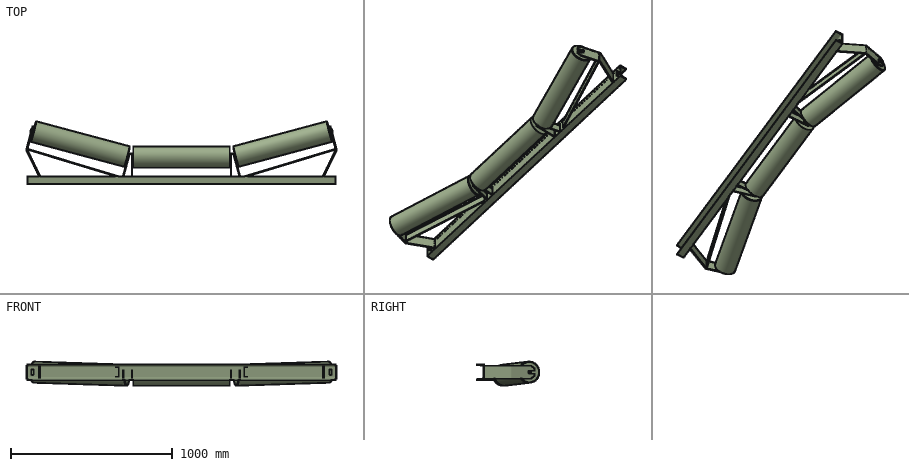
import cadquery as cq
import math


beam_length = 1905.0
beam_height = 100.0
beam_depth = 48.0
web_thickness = 5.0
flange_tip_thickness = 7.0
flange_root_thickness = 10.7
flange_root_radius = 8.0
flange_tip_radius = 4.0
beam_slot_width = 17.0
beam_slot_height = 36.0
beam_slot_inset = 30.0

roller_diameter = 132.0
middle_roller_length = 597.0
side_roller_length = 603.0
side_roller_chamfer = 4.0
shaft_diameter = 17.0
inner_stub = 10.0
outer_stub = 17.0
trough_angle = 15.0
lift_angle = 1.8
middle_roller_y = 119.0
middle_roller_z = -20.0
side_roller_x = -625.0
side_roller_y = 200.0
side_roller_z = -10.0

shaft_slot_width = 20.0
slot_depth_ratio = 1.5
shaft_slot_length = 77.0
inner_plate_thickness = 5.0
inner_plate_height = 60.0
inner_leg_x = -303.0
inner_bridge_width = 21.0
inner_bracket_top = 144.0
outer_plate_thickness = 8.0
outer_plate_height = 80.0
outer_bracket_reach = 960.0
outer_bracket_top = 311.0
bend_y = 165.0
bend_radius = 15.0
foot_angle = 26.0
tip_chamfer_along = 23.0
tip_chamfer_across = 17.0

brace_thickness = 5.0
brace_height = 60.0
brace_top_y = 169.0
brace_foot_x = -397.0

trough_sin = math.sin(math.radians(trough_angle))
trough_cos = math.cos(math.radians(trough_angle))
trough_tan = trough_sin / trough_cos
foot_sin = math.sin(math.radians(foot_angle))
foot_cos = math.cos(math.radians(foot_angle))


def extrude_in_x(outline, length):
    """Extrude a YZ outline to a length centred on X = 0."""
    return outline.extrude(length).translate((-length / 2, 0, 0))


def extrude_in_z(outline, height):
    """Extrude an XY outline to a height centred on Z = 0."""
    return outline.extrude(height).translate((0, 0, -height / 2))


def make_beam():
    """Channel with tapered flanges, open towards -Y, with an upright slot at each end of its web."""
    half = beam_height / 2
    margin = 0.2
    profile = [
        (0, half),
        (-beam_depth, half),
        (-beam_depth, half - flange_tip_thickness),
        (-web_thickness, half - flange_root_thickness),
        (-web_thickness, flange_root_thickness - half),
        (-beam_depth, flange_tip_thickness - half),
        (-beam_depth, -half),
        (0, -half),
    ]
    beam = extrude_in_x(cq.Workplane("YZ").polyline(profile).close(), beam_length)
    roots = cq.selectors.BoxSelector(
        (-beam_length, -web_thickness - margin, -half + margin),
        (beam_length, -web_thickness + margin, half - margin),
    )
    beam = beam.edges("|X").edges(roots).fillet(flange_root_radius)
    tips = cq.selectors.BoxSelector(
        (-beam_length, -beam_depth - margin, -half + margin),
        (beam_length, -beam_depth + margin, half - margin),
    )
    beam = beam.edges("|X").edges(tips).fillet(flange_tip_radius)
    slot_x = beam_length / 2 - beam_slot_inset
    slots = (
        cq.Workplane("XZ")
        .pushPoints([(-slot_x, 0), (slot_x, 0)])
        .slot2D(beam_slot_height, beam_slot_width, 90)
        .extrude(beam_depth)
    )
    return beam.cut(slots)


def make_roller_parts(length, left_stub, right_stub):
    """The shell, centred on the origin with its axis along X, and the shaft through it."""
    shell = extrude_in_x(cq.Workplane("YZ").circle(roller_diameter / 2), length)
    shaft = (
        cq.Workplane("YZ")
        .workplane(offset=-length / 2 - left_stub)
        .circle(shaft_diameter / 2)
        .extrude(length + left_stub + right_stub)
    )
    return shell, shaft


def make_middle_roller():
    shell, shaft = make_roller_parts(middle_roller_length, inner_stub, inner_stub)
    return shell.union(shaft).translate((0, middle_roller_y, middle_roller_z))


def make_side_roller():
    """Left side roller: its rims are chamfered and its outer end is turned away from the beam and lifted."""
    shell, shaft = make_roller_parts(side_roller_length, outer_stub, inner_stub)
    return (
        shell.edges("%CIRCLE").chamfer(side_roller_chamfer).union(shaft)
        .rotate((0, 0, 0), (0, 1, 0), lift_angle)
        .rotate((0, 0, 0), (0, 0, 1), -trough_angle)
        .translate((side_roller_x, side_roller_y, side_roller_z))
    )


def shaft_slot(thickness):
    """Cutter for a plate square to X: round at the origin, where the shaft rests, and open towards +Y."""
    depth = slot_depth_ratio * thickness
    bottom = extrude_in_x(cq.Workplane("YZ").circle(shaft_slot_width / 2), depth)
    opening = cq.Workplane("XY").box(depth, shaft_slot_length, shaft_slot_width, centered=(True, False, True))
    return bottom.union(opening)


def side_shaft_slot(thickness, face_point):
    """Cutter on the left roller's axis, for a plate that leans by the trough angle.

    The face point lies on the face of the plate that looks outwards, towards -X.
    """
    face_x, face_y = face_point
    to_face = (side_roller_x - face_x) * trough_cos + (face_y - side_roller_y) * trough_sin
    distance = to_face - thickness / 2
    return (
        shaft_slot(thickness)
        .rotate((0, 0, 0), (0, 0, 1), -trough_angle)
        .translate((
            side_roller_x - distance * trough_cos,
            side_roller_y + distance * trough_sin,
            side_roller_z + distance * math.tan(math.radians(lift_angle)),
        ))
    )


def make_inner_bracket():
    """Inverted U: an upright leg by the middle roller and a sloping leg by the side roller."""
    slope_top_x = inner_leg_x - inner_bridge_width
    slope_foot_x = slope_top_x - inner_bracket_top * trough_tan
    slope_width = inner_plate_thickness / trough_cos
    under_bridge = inner_bracket_top - inner_plate_thickness
    outline = [
        (inner_leg_x, 0),
        (inner_leg_x, inner_bracket_top),
        (slope_top_x, inner_bracket_top),
        (slope_foot_x, 0),
        (slope_foot_x + slope_width, 0),
        (slope_foot_x + slope_width + under_bridge * trough_tan, under_bridge),
        (inner_leg_x - inner_plate_thickness, under_bridge),
        (inner_leg_x - inner_plate_thickness, 0),
    ]
    bracket = extrude_in_z(cq.Workplane("XY").polyline(outline).close(), inner_plate_height)
    bracket = bracket.translate((0, 0, middle_roller_z))
    upright_slot = shaft_slot(inner_plate_thickness).translate(
        (inner_leg_x - inner_plate_thickness / 2, middle_roller_y, middle_roller_z)
    )
    slope_slot = side_shaft_slot(inner_plate_thickness, (slope_top_x, inner_bracket_top))
    return bracket.cut(upright_slot).cut(slope_slot)


def make_outer_bracket():
    """Bent plate: a foot leg leaning outwards, then a leg square to the side roller's axis."""
    centre_x = bend_radius - outer_bracket_reach
    inner_radius = bend_radius - outer_plate_thickness

    def upper(radius):
        return (centre_x - radius * trough_cos, bend_y + radius * trough_sin)

    def lower(radius):
        return (centre_x - radius * foot_cos, bend_y - radius * foot_sin)

    def foot(radius):
        x, y = lower(radius)
        return (x + y * foot_sin / foot_cos, 0)

    leg_length = (outer_bracket_top - upper(bend_radius)[1]) / trough_cos

    def tip(radius):
        x, y = upper(radius)
        return (x + leg_length * trough_sin, y + leg_length * trough_cos)

    outline = (
        cq.Workplane("XY")
        .moveTo(*foot(bend_radius))
        .lineTo(*lower(bend_radius))
        .threePointArc((centre_x - bend_radius, bend_y), upper(bend_radius))
        .lineTo(*tip(bend_radius))
        .lineTo(*tip(inner_radius))
        .lineTo(*upper(inner_radius))
        .threePointArc((centre_x - inner_radius, bend_y), lower(inner_radius))
        .lineTo(*foot(inner_radius))
        .close()
    )
    bracket = extrude_in_z(outline, outer_plate_height)
    half = outer_plate_height / 2
    for side in (1, -1):
        triangle = [
            (0, side * half),
            (-tip_chamfer_along, side * half),
            (0, side * (half - tip_chamfer_across)),
        ]
        corner = (
            extrude_in_x(cq.Workplane("YZ").polyline(triangle).close(), 2 * outer_plate_thickness)
            .rotate((0, 0, 0), (0, 0, 1), -trough_angle)
            .translate((*tip(bend_radius - outer_plate_thickness / 2), 0))
        )
        bracket = bracket.cut(corner)
    return bracket.cut(side_shaft_slot(outer_plate_thickness, upper(bend_radius)))


def make_brace(outer_bracket):
    """Flat bar from the back of the beam up into the bend of the outer bracket, trimmed to its inner face."""
    top_x = outer_plate_thickness / 2 - outer_bracket_reach
    slope = math.atan2(brace_top_y, brace_foot_x - top_x)
    half_width = brace_thickness / 2
    half_foot = half_width / math.sin(slope)
    offset_x = half_width * math.sin(slope)
    offset_y = half_width * math.cos(slope)
    outline = [
        (brace_foot_x - half_foot, 0),
        (brace_foot_x + half_foot, 0),
        (top_x + offset_x, brace_top_y + offset_y),
        (top_x - offset_x, brace_top_y - offset_y),
    ]
    return extrude_in_z(cq.Workplane("XY").polyline(outline).close(), brace_height).cut(outer_bracket)


beam = make_beam()
middle_roller = make_middle_roller()
left_roller = make_side_roller()
left_inner_bracket = make_inner_bracket()
left_outer_bracket = make_outer_bracket()
left_brace = make_brace(left_outer_bracket)

bodies = [beam.val(), middle_roller.val()]
for left_body in (left_roller, left_inner_bracket, left_outer_bracket, left_brace):
    bodies.append(left_body.val())
    bodies.append(left_body.mirror("YZ").val())

result = cq.Compound.makeCompound(bodies)